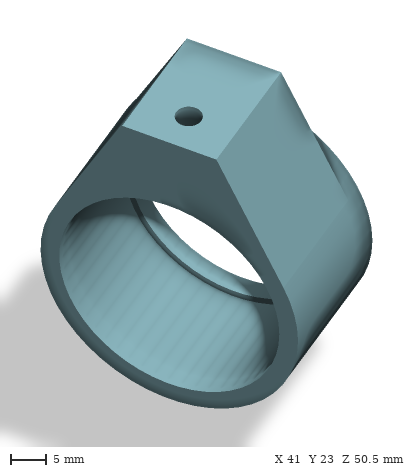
import cadquery as cq
import math

total_height = 50.5
outer_radius = 20.5
ring_length = 23.0
bore_radius = 17.5
lip_radius = 16.5
lip_thickness = 3.0

block_length = 20.0
flat_half_width = 7.5
flat_height = total_height - outer_radius

hole_diameter = 4.0
hole_from_front = 6.0


def cylinder_along_y(radius, start, length):
    return cq.Workplane("XZ", origin=(0, start, 0)).circle(radius).extrude(-length)


def tapered_block():
    """Block whose sloping sides are tangent to the ring."""
    corner_distance = math.hypot(flat_half_width, flat_height)
    corner_angle = math.atan2(flat_height, flat_half_width)
    tangent_angle = corner_angle - math.acos(outer_radius / corner_distance)
    tangent_x = outer_radius * math.cos(tangent_angle)
    tangent_z = outer_radius * math.sin(tangent_angle)
    outline = [
        (0, 0),
        (tangent_x, tangent_z),
        (flat_half_width, flat_height),
        (-flat_half_width, flat_height),
        (-tangent_x, tangent_z),
    ]
    return cq.Workplane("XZ").polyline(outline).close().extrude(-block_length)


body = cylinder_along_y(outer_radius, 0, ring_length).union(tapered_block())

wide_bore = cylinder_along_y(bore_radius, 0, ring_length - lip_thickness)
lip_opening = cylinder_along_y(lip_radius, 0, ring_length)

screw_hole = (
    cq.Workplane("XY", origin=(0, hole_from_front, 0))
    .circle(hole_diameter / 2)
    .extrude(flat_height)
)

result = body.cut(wide_bore).cut(lip_opening).cut(screw_hole)